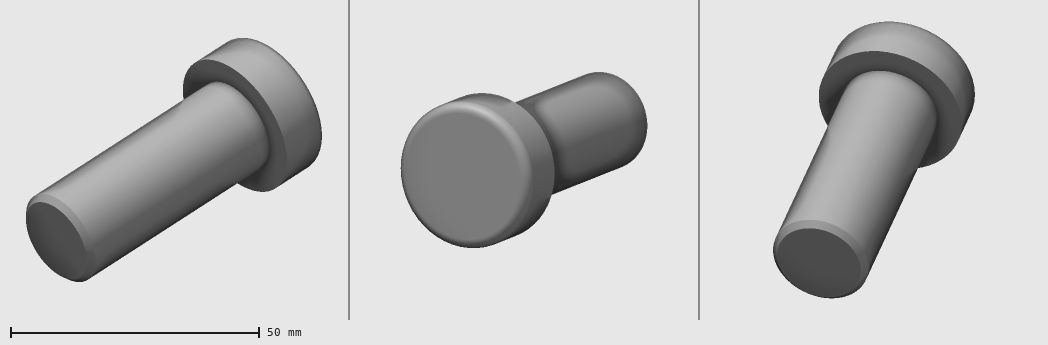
import cadquery as cq

total_length = 61.0
head_diameter = 30.0
head_length = 11.0
head_edge_radius = 2.0
shank_diameter = 20.0
tip_chamfer = 1.2

shank_length = total_length - head_length


def make_head():
    """Round head, resting on Y = 0, with its outer end edge rounded."""
    head = cq.Workplane("XZ").circle(head_diameter / 2).extrude(-head_length)
    return head.faces(">Y").edges().fillet(head_edge_radius)


def make_shank():
    """Plain cylindrical shank towards -Y with a chamfered tip."""
    shank = cq.Workplane("XZ").circle(shank_diameter / 2).extrude(shank_length)
    return shank.faces("<Y").edges().chamfer(tip_chamfer)


result = make_head().union(make_shank())